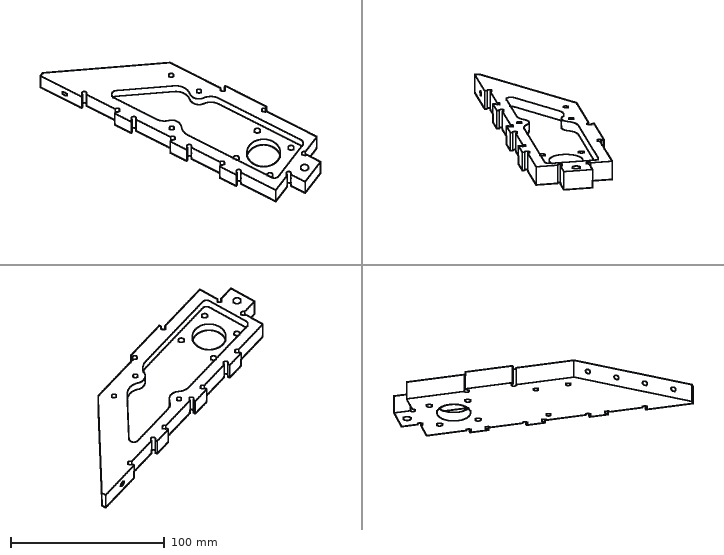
import cadquery as cq
import math

LENGTH = 191.82
WIDTH = 57.15
THICKNESS = 12.7
MID_Y = WIDTH / 2

TAB_HEIGHT = 3.175
END_TAB_LENGTH = 12.7
END_TAB_WIDTH = 19.05
FRONT_TAB_WIDTH = 12.7
FRONT_TAB_GAP = 25.4
NOSE_FOOT_LENGTH = 31.75
FIRST_TAB_START = NOSE_FOOT_LENGTH + FRONT_TAB_GAP
SECOND_TAB_START = 99.75
THIRD_TAB_START = SECOND_TAB_START + FRONT_TAB_WIDTH + FRONT_TAB_GAP
FRONT_TAB_STARTS = (FIRST_TAB_START, SECOND_TAB_START, THIRD_TAB_START)
BACK_TAB_START = 106.75
BACK_TAB_WIDTH = 31.75
RELIEF_DIAMETER = 3.17

BODY_END_X = LENGTH - END_TAB_LENGTH
BODY_FRONT_Y = TAB_HEIGHT
BODY_BACK_Y = WIDTH - TAB_HEIGHT
NOSE_HEIGHT = 2.95
SLOPE_TOP_X = 66.05
SLOPE_ANGLE = math.atan2(BODY_BACK_Y - NOSE_HEIGHT, SLOPE_TOP_X)
SLOPE_COS = math.cos(SLOPE_ANGLE)
SLOPE_SIN = math.sin(SLOPE_ANGLE)

POCKET_DEPTH = 6.35
POCKET_MID_Y = 28.35
POCKET_HALF_WIDTH = 17.9
POCKET_FRONT_Y = POCKET_MID_Y - POCKET_HALF_WIDTH
POCKET_BACK_Y = POCKET_MID_Y + POCKET_HALF_WIDTH
END_WALL = 4.4
POCKET_END_X = BODY_END_X - END_WALL
POCKET_CORNER_RADIUS = 3.175
SLOPE_WALL = 19.05
BOSS_RADIUS = 6.35
BLEND_RADIUS = 9.525

PIN_DIAMETER = 3.17
CORNER_PIN = (72.15, 45.6)
BACK_PIN = (94.3, 44.4)
FRONT_PIN = (95.0, 9.75)
END_TAB_HOLE_DIAMETER = 5.08
END_TAB_HOLE_X = LENGTH - END_TAB_LENGTH / 2
MOTOR_X = 154.05
MOTOR_BORE_DIAMETER = 22.0
MOTOR_SCREW_DIAMETER = 3.81
MOTOR_SCREW_SPACING = 26.0

EDGE_HOLE_DIAMETER = 3.17
EDGE_HOLE_COUNT = 4
EDGE_HOLE_PITCH = 20.2
EDGE_HOLE_FIRST_Y = 10.9
EDGE_HOLE_DEPTH = 15.875


def block(x_start, x_end, y_start, y_end):
    """Full-thickness block between two opposite corners."""
    return (
        cq.Workplane("XY")
        .box(x_end - x_start, y_end - y_start, THICKNESS, centered=False)
        .translate((x_start, y_start, 0))
    )


def through_holes(points, diameter):
    """Cylinders that cut through the whole thickness."""
    return cq.Workplane("XY").pushPoints(points).circle(diameter / 2).extrude(THICKNESS)


def make_body():
    """Plate with its sloped edge and the foot at the nose."""
    outline = [
        (0, 0),
        (NOSE_FOOT_LENGTH, 0),
        (NOSE_FOOT_LENGTH, BODY_FRONT_Y),
        (BODY_END_X, BODY_FRONT_Y),
        (BODY_END_X, BODY_BACK_Y),
        (SLOPE_TOP_X, BODY_BACK_Y),
        (0, NOSE_HEIGHT),
    ]
    return cq.Workplane("XY").polyline(outline).close().extrude(THICKNESS)


def add_tabs(body):
    """Add the locating tabs and round out every inner corner beside them."""
    relief_points = [(NOSE_FOOT_LENGTH, BODY_FRONT_Y)]

    for start in FRONT_TAB_STARTS:
        end = start + FRONT_TAB_WIDTH
        body = body.union(block(start, end, 0, BODY_FRONT_Y))
        relief_points += [(start, BODY_FRONT_Y), (end, BODY_FRONT_Y)]

    back_tab_end = BACK_TAB_START + BACK_TAB_WIDTH
    body = body.union(block(BACK_TAB_START, back_tab_end, BODY_BACK_Y, WIDTH))
    relief_points += [(BACK_TAB_START, BODY_BACK_Y), (back_tab_end, BODY_BACK_Y)]

    end_tab_front = MID_Y - END_TAB_WIDTH / 2
    end_tab_back = MID_Y + END_TAB_WIDTH / 2
    body = body.union(block(BODY_END_X, LENGTH, end_tab_front, end_tab_back))
    relief_points += [(BODY_END_X, end_tab_front), (BODY_END_X, end_tab_back)]

    return body.cut(through_holes(relief_points, RELIEF_DIAMETER))


def slope_wall_x(y, inset):
    """X at height y on a line parallel to the sloped edge, moved inward by inset."""
    return (y - NOSE_HEIGHT) / math.tan(SLOPE_ANGLE) + inset / SLOPE_SIN


def polar_point(center, radius, angle):
    return (center[0] + radius * math.cos(angle), center[1] + radius * math.sin(angle))


def touch_point(boss, blend):
    """Point where the boss arc meets a blend arc."""
    angle = math.atan2(blend[1] - boss[1], blend[0] - boss[0])
    return polar_point(boss, BOSS_RADIUS, angle)


def middle_of_arc(center, radius, start, end):
    """Point halfway along the shorter arc between two points on a circle."""
    toward_x = (start[0] + end[0]) / 2 - center[0]
    toward_y = (start[1] + end[1]) / 2 - center[1]
    return polar_point(center, radius, math.atan2(toward_y, toward_x))


def blend_reach(boss, blend_y):
    """X distance from a boss to a blend center that lies at blend_y."""
    return math.sqrt((BOSS_RADIUS + BLEND_RADIUS) ** 2 - (blend_y - boss[1]) ** 2)


def slope_blend_center():
    """Center of the arc tangent to the pocket's sloped wall and to the back boss."""
    inset = SLOPE_WALL + BLEND_RADIUS
    foot_x = slope_wall_x(BACK_PIN[1], inset)
    offset_x = foot_x - BACK_PIN[0]
    along = offset_x * SLOPE_COS
    across = offset_x * SLOPE_SIN
    back_down = along + math.sqrt((BOSS_RADIUS + BLEND_RADIUS) ** 2 - across**2)
    return (foot_x - back_down * SLOPE_COS, BACK_PIN[1] - back_down * SLOPE_SIN)


def make_pocket():
    """Pocket that narrows along the slope and swings around two pin bosses."""
    front_blend_y = POCKET_FRONT_Y + BLEND_RADIUS
    front_reach = blend_reach(FRONT_PIN, front_blend_y)
    front_left = (FRONT_PIN[0] - front_reach, front_blend_y)
    front_right = (FRONT_PIN[0] + front_reach, front_blend_y)
    front_touch_left = touch_point(FRONT_PIN, front_left)
    front_touch_right = touch_point(FRONT_PIN, front_right)
    front_start = (front_left[0], POCKET_FRONT_Y)
    front_end = (front_right[0], POCKET_FRONT_Y)

    back_blend_y = POCKET_BACK_Y - BLEND_RADIUS
    back_right = (BACK_PIN[0] + blend_reach(BACK_PIN, back_blend_y), back_blend_y)
    back_left = slope_blend_center()
    back_touch_right = touch_point(BACK_PIN, back_right)
    back_touch_left = touch_point(BACK_PIN, back_left)
    back_start = (back_right[0], POCKET_BACK_Y)
    slope_end = polar_point(back_left, BLEND_RADIUS, SLOPE_ANGLE + math.pi / 2)

    tip = (slope_wall_x(POCKET_FRONT_Y, SLOPE_WALL), POCKET_FRONT_Y)

    def arc(path, center, radius, start, end):
        return path.threePointArc(middle_of_arc(center, radius, start, end), end)

    path = cq.Workplane("XY", origin=(0, 0, THICKNESS - POCKET_DEPTH))
    path = path.moveTo(*tip).lineTo(*front_start)
    path = arc(path, front_left, BLEND_RADIUS, front_start, front_touch_left)
    path = arc(path, FRONT_PIN, BOSS_RADIUS, front_touch_left, front_touch_right)
    path = arc(path, front_right, BLEND_RADIUS, front_touch_right, front_end)
    path = path.lineTo(POCKET_END_X, POCKET_FRONT_Y)
    path = path.lineTo(POCKET_END_X, POCKET_BACK_Y)
    path = path.lineTo(*back_start)
    path = arc(path, back_right, BLEND_RADIUS, back_start, back_touch_right)
    path = arc(path, BACK_PIN, BOSS_RADIUS, back_touch_right, back_touch_left)
    path = arc(path, back_left, BLEND_RADIUS, back_touch_left, slope_end)
    pocket = path.close().extrude(POCKET_DEPTH)

    sharp_edges = pocket.edges("|Z and >X").add(pocket.edges("|Z and <X"))
    return sharp_edges.fillet(POCKET_CORNER_RADIUS)


def drill_plate(body):
    """Pin holes, end tab hole, motor bore and its four screws."""
    motor_screws = [
        (MOTOR_X + side_x * MOTOR_SCREW_SPACING / 2, POCKET_MID_Y + side_y * MOTOR_SCREW_SPACING / 2)
        for side_x in (-1, 1)
        for side_y in (-1, 1)
    ]
    body = body.cut(through_holes([CORNER_PIN, BACK_PIN, FRONT_PIN], PIN_DIAMETER))
    body = body.cut(through_holes([(END_TAB_HOLE_X, MID_Y)], END_TAB_HOLE_DIAMETER))
    body = body.cut(through_holes([(MOTOR_X, POCKET_MID_Y)], MOTOR_BORE_DIAMETER))
    return body.cut(through_holes(motor_screws, MOTOR_SCREW_DIAMETER))


def drill_sloped_edge(body):
    """Row of blind holes square to the sloped edge, at mid thickness."""
    inward = cq.Vector(SLOPE_SIN, -SLOPE_COS, 0)
    for index in range(EDGE_HOLE_COUNT):
        y = EDGE_HOLE_FIRST_Y + index * EDGE_HOLE_PITCH * SLOPE_SIN
        mouth = cq.Vector(slope_wall_x(y, 0), y, THICKNESS / 2)
        hole = cq.Solid.makeCylinder(EDGE_HOLE_DIAMETER / 2, EDGE_HOLE_DEPTH, mouth, inward)
        body = body.cut(cq.Workplane(obj=hole))
    return body


plate = add_tabs(make_body())
plate = plate.cut(make_pocket())
plate = drill_plate(plate)
result = drill_sloped_edge(plate)